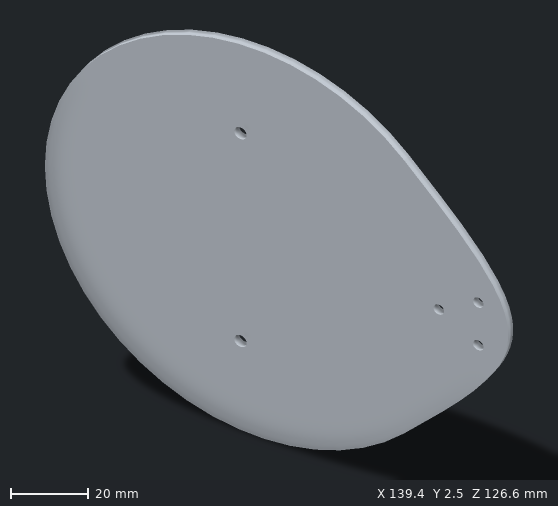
import cadquery as cq
import math

overall_length = 139.4
thickness = 2.5
disc_radius = 63.3
blend_angle = math.radians(45)

mount_hole_diameter = 3.8
mount_hole_x = -4.5
mount_hole_spacing = 68.0

nose_hole_diameter = 3.2
inner_nose_hole_x = 55.2
outer_nose_holes_x = 67.0
outer_nose_hole_spacing = 14.0

nose_tip_x = overall_length - disc_radius
blend_x = disc_radius * math.cos(blend_angle)
blend_z = disc_radius * math.sin(blend_angle)


def plate():
    """Disc drawn out into a smooth nose, tangent to the round edge."""
    upper_tangent = (math.sin(blend_angle), -math.cos(blend_angle))
    lower_tangent = (-upper_tangent[0], upper_tangent[1])
    return (
        cq.Workplane("XZ")
        .moveTo(blend_x, -blend_z)
        .threePointArc((-disc_radius, 0), (blend_x, blend_z))
        .spline(
            [(nose_tip_x, 0), (blend_x, -blend_z)],
            tangents=[upper_tangent, lower_tangent],
            includeCurrent=True,
        )
        .close()
        .extrude(thickness / 2, both=True)
    )


def through_holes(centres, diameter):
    """Round cutters that pass through the whole plate."""
    return (
        cq.Workplane("XZ")
        .pushPoints(centres)
        .circle(diameter / 2)
        .extrude(thickness, both=True)
    )


mount_holes = [(mount_hole_x, side * mount_hole_spacing / 2) for side in (-1, 1)]
nose_holes = [(inner_nose_hole_x, 0)]
nose_holes += [(outer_nose_holes_x, side * outer_nose_hole_spacing / 2) for side in (-1, 1)]

result = (
    plate()
    .cut(through_holes(mount_holes, mount_hole_diameter))
    .cut(through_holes(nose_holes, nose_hole_diameter))
)